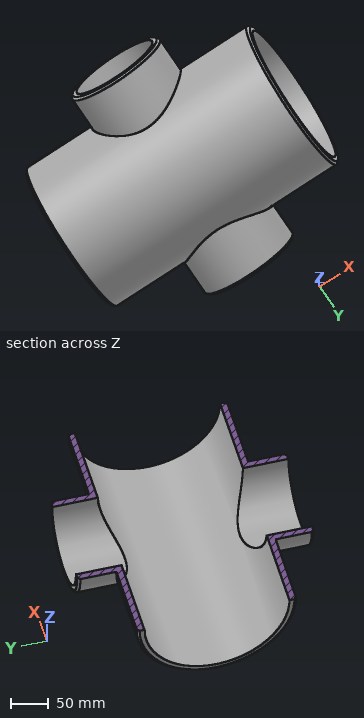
import cadquery as cq

run_length = 355.6
run_diameter = 219.075
branch_span = 324.1
branch_diameter = 141.3
wall = 10.3

run_bore_diameter = run_diameter - 2 * wall
branch_bore_diameter = branch_diameter - 2 * wall

bevel = 3.45

run_plane = "YZ"
branch_plane = "XZ"


def round_bar(plane, diameter, length):
    """Solid round bar centred on the origin, along the normal of the plane."""
    return cq.Workplane(plane).circle(diameter / 2).extrude(length / 2, both=True)


def bevelled_bar(plane, diameter, length):
    """Round bar with both circular end edges bevelled."""
    return round_bar(plane, diameter, length).edges("%CIRCLE").chamfer(bevel)


body = bevelled_bar(run_plane, run_diameter, run_length)
body = body.union(bevelled_bar(branch_plane, branch_diameter, branch_span))

body = body.cut(round_bar(run_plane, run_bore_diameter, run_length))
body = body.cut(round_bar(branch_plane, branch_bore_diameter, branch_span))

result = body